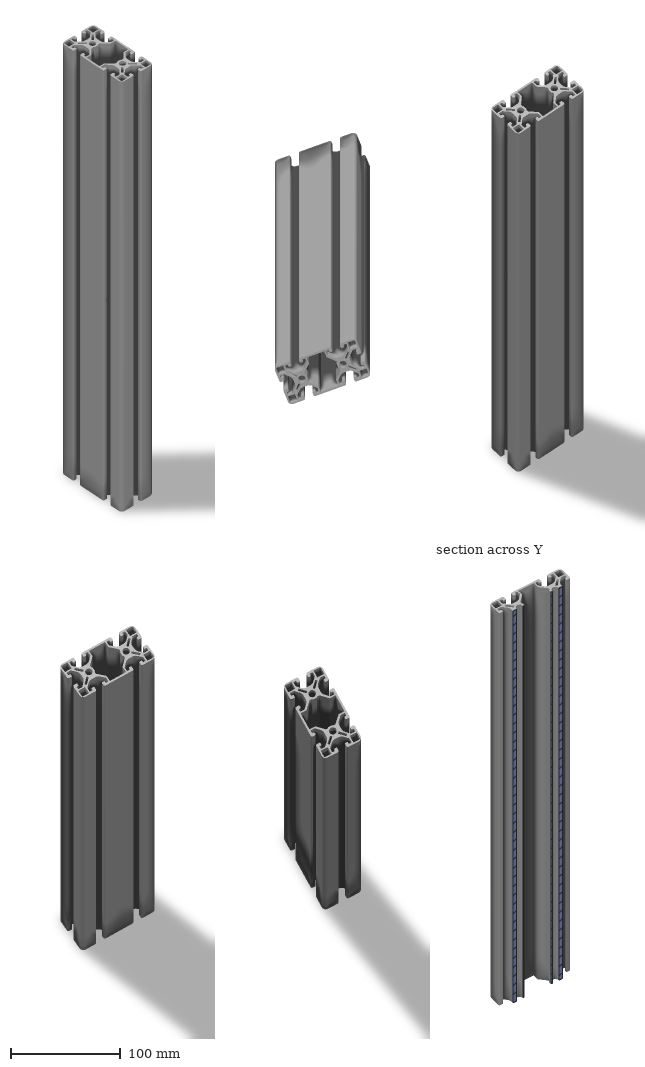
import cadquery as cq
import math

LENGTH = 500.0
WIDTH = 80.0
DEPTH = 40.0
CORNER_RADIUS = 4.0
CORE_TO_FACE = DEPTH / 2
CORE_X = WIDTH / 2 - CORE_TO_FACE
BORE_DIAMETER = 6.8

MOUTH_HALF = 4.1
MOUTH_RADIUS = 1.5
LIP_DEPTH = 4.6
HOOK_HALF = 7.1
HOOK_RADIUS = 0.8
RECESS_DEPTH = 2.2
RECESS_RADIUS = 0.7
SLOT_HALF = 10.0
SLOT_DEPTH = 12.25
FLOOR_FLAT_HALF = 1.95
FLANK_ANGLE = math.radians(45)
FLANK_OFFSET = 3.4

CORNER_CAVITY_INNER = 11.4
CORNER_CAVITY_OUTER = 18.55
CORNER_CAVITY_RADIUS = 1.0

SLIT_WIDTH = 2.2
SLIT_START = 3.6
SLIT_END = 9.4

MIDDLE_WALL = 1.9
MIDDLE_SIDE_WALL = 1.4
MIDDLE_WEB_OFFSET = 0.6
BOSS_REACH = 5.2
BOSS_HALF = 2.4
BOSS_ROOT = 4.4


def upright_edges(half_width, y):
    """Selector for the two vertical edges at X = -half_width and +half_width."""
    margin = 0.1
    left, right = (
        cq.selectors.BoxSelector(
            (x - margin, y - margin, -margin),
            (x + margin, y + margin, LENGTH + margin),
        )
        for x in (-half_width, half_width)
    )
    return left + right


def slot_cutter():
    """T-slot opening towards +Y, with the core axis at the origin."""
    floor_y = CORE_TO_FACE - SLOT_DEPTH
    ceiling_y = CORE_TO_FACE - RECESS_DEPTH
    lip_y = CORE_TO_FACE - LIP_DEPTH

    floor_corner = floor_y - FLANK_OFFSET
    tangent_length = floor_corner - FLOOR_FLAT_HALF
    half_angle = FLANK_ANGLE / 2
    floor_radius = tangent_length / math.tan(half_angle)
    arc_middle = (
        FLOOR_FLAT_HALF + floor_radius * math.sin(half_angle),
        floor_y + floor_radius * (1 - math.cos(half_angle)),
    )
    flank_foot = FLOOR_FLAT_HALF + floor_radius * math.sin(FLANK_ANGLE)

    mouth_arc_inset = MOUTH_RADIUS * (1 - math.sqrt(0.5))
    slot = (
        cq.Workplane("XY")
        .moveTo(0, floor_y)
        .lineTo(FLOOR_FLAT_HALF, floor_y)
        .threePointArc(arc_middle, (flank_foot, flank_foot + FLANK_OFFSET))
        .lineTo(SLOT_HALF, SLOT_HALF + FLANK_OFFSET)
        .lineTo(SLOT_HALF, ceiling_y)
        .lineTo(HOOK_HALF, ceiling_y)
        .lineTo(HOOK_HALF, lip_y)
        .lineTo(MOUTH_HALF, lip_y)
        .lineTo(MOUTH_HALF, CORE_TO_FACE - MOUTH_RADIUS)
        .threePointArc(
            (MOUTH_HALF + mouth_arc_inset, CORE_TO_FACE - mouth_arc_inset),
            (MOUTH_HALF + MOUTH_RADIUS, CORE_TO_FACE),
        )
        .lineTo(0, CORE_TO_FACE)
        .mirrorY()
        .extrude(LENGTH)
    )
    recess_corners = upright_edges(SLOT_HALF, ceiling_y) + upright_edges(HOOK_HALF, ceiling_y)
    lip_corners = upright_edges(HOOK_HALF, lip_y) + upright_edges(MOUTH_HALF, lip_y)
    return slot.edges(recess_corners).fillet(RECESS_RADIUS).edges(lip_corners).fillet(HOOK_RADIUS)


def corner_cavity():
    """Square cavity of the +X +Y corner, rounded where it faces the outer corner."""
    size = CORNER_CAVITY_OUTER - CORNER_CAVITY_INNER
    return (
        cq.Workplane("XY")
        .moveTo(CORNER_CAVITY_INNER, CORNER_CAVITY_INNER)
        .rect(size, size, centered=False)
        .extrude(LENGTH)
        .edges("|Z and >(1, 1, 0)")
        .fillet(CORNER_CAVITY_RADIUS)
    )


def web_slit():
    """Slit along the web that runs from the core to the +X +Y corner."""
    start = SLIT_START * math.sqrt(2)
    length = (SLIT_END - SLIT_START) * math.sqrt(2)
    return (
        cq.Workplane("XY")
        .center(start + length / 2, 0)
        .rect(length, SLIT_WIDTH)
        .extrude(LENGTH)
        .rotate((0, 0, 0), (0, 0, 1), 45)
    )


def end_cutters():
    """The openings around the +X core: three slots, two corner cavities, two slits and the bore."""
    slot = slot_cutter()
    cutters = [slot.rotate((0, 0, 0), (0, 0, 1), angle) for angle in (0, -90, 180)]
    for corner_part in (corner_cavity(), web_slit()):
        cutters += [corner_part, corner_part.mirror("XZ")]
    cutters.append(cq.Workplane("XY").circle(BORE_DIAMETER / 2).extrude(LENGTH))
    return [cutter.translate((CORE_X, 0, 0)) for cutter in cutters]


def middle_cavity():
    """Cavity between the cores, bounded by the webs, the boss ribs and the outer walls."""
    side = SLOT_HALF + MIDDLE_SIDE_WALL
    quarter_from_core = [
        (BOSS_REACH, BOSS_HALF),
        (BOSS_ROOT, BOSS_HALF),
        (BOSS_ROOT, BOSS_ROOT + MIDDLE_WEB_OFFSET),
        (side, side + MIDDLE_WEB_OFFSET),
        (side, CORE_TO_FACE - MIDDLE_WALL),
    ]
    left_top = [(x - CORE_X, y) for x, y in quarter_from_core]
    right_top = [(-x, y) for x, y in reversed(left_top)]
    top = left_top + right_top
    bottom = [(x, -y) for x, y in reversed(top)]
    return cq.Workplane("XY").polyline(top + bottom).close().extrude(LENGTH)


result = cq.Workplane("XY").rect(WIDTH, DEPTH).extrude(LENGTH).edges("|Z").fillet(CORNER_RADIUS)
for cutter in end_cutters():
    result = result.cut(cutter).cut(cutter.mirror("YZ"))
result = result.cut(middle_cavity())